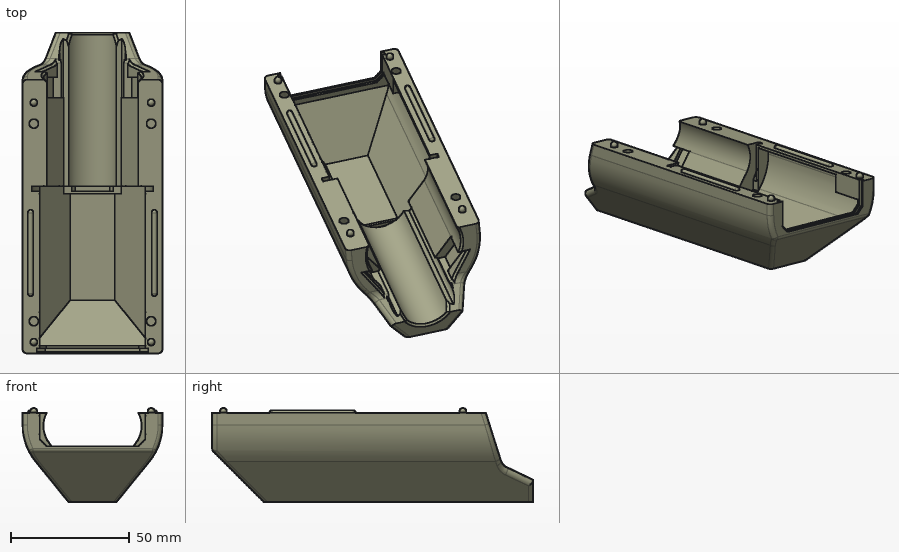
import cadquery as cq
import math


HALF_WIDTH = 29.7
LENGTH = 136.02
DEPTH = 37.8
SIDE_STRAIGHT = 5.0
FLARE_ANGLE = 39.0
FLARE_DROP = 15.4
FRONT_CORNER_DEPTH = 15.8
RIM_LENGTH = 116.07
NECK_Y, NECK_DEPTH = 123.05, 22.1
BACK_TOP_DEPTH = 28.3
NECK_FILLET = 5.0
EDGE_FILLET = 2.0

WALL = 1.5
CHAMBER_FRONT = 3.3
RIM_THICKNESS = 1.2
OPENING_HALF = 22.37
STEP_Y = 70.97
RIB_FRONT = 67.7
PLATE_SLOT_WIDTH = 2.15
PLATE_SLOT_WALL = 4.0
PLATE_SLOT_DEPTH = 35.06
RIB_OPENING_DEPTH = 33.0
PAD_BACK, PAD_DEPTH = 17.4, 9.0

END_SIDE_DEPTH = 11.1
END_FLOOR_HALF = 19.5
END_FLOOR_DEPTH = 14.07
END_GROOVE_START, END_GROOVE_END = 0.75, 2.25
END_GROOVE_DEPTH = 1.25

BACK_RIM_HALF = 19.4
BULGE_HALF = 20.76
BULGE_DEPTH = 5.6
BULGE_END_HALF, BULGE_END_DEPTH = 19.1, 11.6
LEDGE_HALF, LEDGE_DEPTH = 12.1, 21.6
CHANNEL_RADIUS = 11.3
CHANNEL_DEPTH = 21.5
RIDGE_HALF = 10.15
GROOVE_HALF, GROOVE_MID_DEPTH = 14.0, 24.3
GROOVE_FLOOR_HALF, GROOVE_FLOOR_DEPTH = 12.4, 27.0
END_CHAMFER = 0.9

POCKET_DEPTH = 22.4
POCKET_START, POCKET_STEP, POCKET_END = 108.4, 117.1, 124.4
WIDE_POCKET_HALF, NARROW_POCKET_HALF = 16.6, 15.0
NOTCH_HALF, NOTCH_END, NOTCH_DEPTH = 14.4, 126.5, 23.75

FASTENER_X = 24.86
PIN_YS = (4.85, 106.3)
PIN_DIAMETER, PIN_HEIGHT = 3.0, 2.13
HOLE_YS = (13.7, 97.4)
HOLE_DIAMETER, HOLE_DEPTH = 3.9, 6.0
BAR_X, BAR_START, BAR_END = 26.2, 24.3, 60.9
BAR_RADIUS = 1.2

TOUCHING = 1e-4
FLAT = 0.1
LENGTHWISE = 0.99

FLARE = math.radians(FLARE_ANGLE)
FLARE_RADIUS = FLARE_DROP / math.sin(FLARE)


def box(x0, x1, y0, y1, z0, z1):
    return cq.Workplane("XY").box(x1 - x0, y1 - y0, z1 - z0, centered=False).translate((x0, y0, z0))


def both_sides(half):
    return half.union(half.mirror("YZ"))


def section(y):
    """XZ sketch plane at the given Y, extruding toward +Y."""
    return cq.Workplane(cq.Plane(origin=(0, y, 0), xDir=(1, 0, 0), normal=(0, -1, 0)))


def extrude_back(sketch, length):
    return sketch.extrude(-length)


def hull(inset, y0, y1, floor_depth):
    """Outer cross-section moved inward by inset, swept from y0 to y1."""
    radius = FLARE_RADIUS - inset
    center_x = HALF_WIDTH - FLARE_RADIUS
    side = HALF_WIDTH - inset
    mid_x = center_x + radius * math.cos(FLARE / 2)
    mid_z = -SIDE_STRAIGHT - radius * math.sin(FLARE / 2)
    end_x = center_x + radius * math.cos(FLARE)
    end_z = -SIDE_STRAIGHT - radius * math.sin(FLARE)
    floor_x = end_x - (floor_depth + end_z) * math.tan(FLARE)
    sketch = (
        section(y0)
        .moveTo(-side, 0)
        .lineTo(side, 0)
        .lineTo(side, -SIDE_STRAIGHT)
        .threePointArc((mid_x, mid_z), (end_x, end_z))
        .lineTo(floor_x, -floor_depth)
        .lineTo(-floor_x, -floor_depth)
        .lineTo(-end_x, end_z)
        .threePointArc((-mid_x, mid_z), (-side, -SIDE_STRAIGHT))
        .close()
    )
    return extrude_back(sketch, y1 - y0)


def outer_body():
    """Hull trimmed to the side outline, with rounded edges at both ends."""
    nose_y = DEPTH - FRONT_CORNER_DEPTH
    side_outline = (
        cq.Workplane("YZ")
        .polyline([
            (0, 0), (RIM_LENGTH, 0), (NECK_Y, -NECK_DEPTH), (LENGTH, -BACK_TOP_DEPTH),
            (LENGTH, -DEPTH), (nose_y, -DEPTH), (0, -FRONT_CORNER_DEPTH),
        ])
        .close()
        .extrude(HALF_WIDTH, both=True)
    )
    neck = cq.selectors.NearestToPointSelector((0, NECK_Y, -NECK_DEPTH))
    side_outline = side_outline.edges("|X").edges(neck).fillet(NECK_FILLET)
    body = hull(0, 0, LENGTH, DEPTH).intersect(side_outline)

    def is_end_edge(edge):
        bounds = edge.BoundingBox()
        crosses_section = bounds.zlen > FLAT
        is_nose = bounds.ymax < FLAT and abs(bounds.zmin + FRONT_CORNER_DEPTH) < FLAT
        return crosses_section or is_nose

    return body.newObject([e for e in body.edges().vals() if is_end_edge(e)]).fillet(EDGE_FILLET)


def front_chamber():
    """Thin-walled chamber under the rim, with its pads and rib left standing."""
    inner_depth = DEPTH - WALL
    nose_shift = WALL * math.sqrt(2)
    corner_depth = FRONT_CORNER_DEPTH - nose_shift + CHAMBER_FRONT
    nose_end = CHAMBER_FRONT + inner_depth - corner_depth
    above_nose = (
        cq.Workplane("YZ")
        .polyline([
            (CHAMBER_FRONT, 0), (STEP_Y, 0), (STEP_Y, -inner_depth),
            (nose_end, -inner_depth), (CHAMBER_FRONT, -corner_depth),
        ])
        .close()
        .extrude(HALF_WIDTH, both=True)
    )
    shell_space = hull(WALL, CHAMBER_FRONT, STEP_Y, inner_depth).intersect(above_nose)
    opening = box(-OPENING_HALF, OPENING_HALF, 0, STEP_Y, -RIB_OPENING_DEPTH, 0).intersect(shell_space)
    pads = both_sides(box(OPENING_HALF, HALF_WIDTH, 0, PAD_BACK, -PAD_DEPTH, 0))
    under_rim = box(-HALF_WIDTH, HALF_WIDTH, CHAMBER_FRONT, RIB_FRONT, -DEPTH, -RIM_THICKNESS)
    recess = shell_space.intersect(under_rim).cut(pads)
    slot = hull(PLATE_SLOT_WALL, STEP_Y - PLATE_SLOT_WIDTH, STEP_Y, PLATE_SLOT_DEPTH)
    return recess.union(opening).union(slot)


def end_opening(y0, y1, growth):
    """Chamfered front opening, widened by growth on every side."""
    diagonal_shift = growth * math.tan(math.pi / 8)
    side = OPENING_HALF + growth
    side_depth = END_SIDE_DEPTH + diagonal_shift
    floor_half = END_FLOOR_HALF + diagonal_shift
    floor_depth = END_FLOOR_DEPTH + growth
    sketch = section(y0).polyline([
        (-side, 0), (side, 0), (side, -side_depth), (floor_half, -floor_depth),
        (-floor_half, -floor_depth), (-side, -side_depth),
    ]).close()
    return extrude_back(sketch, y1 - y0)


def back_cavity():
    """Bulged opening with sloped flanks, over a round channel."""
    length = LENGTH - STEP_Y
    sketch = (
        section(STEP_Y)
        .moveTo(-BACK_RIM_HALF, 0)
        .lineTo(BACK_RIM_HALF, 0)
        .threePointArc((BULGE_HALF, -BULGE_DEPTH), (BULGE_END_HALF, -BULGE_END_DEPTH))
        .lineTo(LEDGE_HALF, -LEDGE_DEPTH)
        .lineTo(-LEDGE_HALF, -LEDGE_DEPTH)
        .lineTo(-BULGE_END_HALF, -BULGE_END_DEPTH)
        .threePointArc((-BULGE_HALF, -BULGE_DEPTH), (-BACK_RIM_HALF, 0))
        .close()
    )
    cavity = extrude_back(sketch, length)
    channel = extrude_back(section(STEP_Y).center(0, -CHANNEL_DEPTH).circle(CHANNEL_RADIUS), length)
    return cavity.union(channel)


def side_grooves():
    """Undercut grooves between the sloped flanks and the channel."""
    ridge_depth = CHANNEL_DEPTH + math.sqrt(CHANNEL_RADIUS ** 2 - RIDGE_HALF ** 2)
    sketch = (
        section(STEP_Y)
        .moveTo(0, -LEDGE_DEPTH)
        .lineTo(LEDGE_HALF, -LEDGE_DEPTH)
        .threePointArc((GROOVE_HALF, -GROOVE_MID_DEPTH), (GROOVE_FLOOR_HALF, -GROOVE_FLOOR_DEPTH))
        .lineTo(RIDGE_HALF, -ridge_depth)
        .lineTo(0, -ridge_depth)
        .close()
    )
    return both_sides(extrude_back(sketch, LENGTH - STEP_Y))


def back_pocket(floor_half, y0, y1):
    """Flat-floored recess in each flank, with its wall parallel to the flank."""
    flank = (LEDGE_DEPTH - BULGE_END_DEPTH) / (BULGE_END_HALF - LEDGE_HALF)
    top_half = floor_half + (POCKET_DEPTH - BULGE_END_DEPTH) / flank
    sketch = section(y0).polyline([
        (LEDGE_HALF, -POCKET_DEPTH), (floor_half, -POCKET_DEPTH),
        (top_half, -BULGE_END_DEPTH), (LEDGE_HALF, -BULGE_END_DEPTH),
    ]).close()
    return both_sides(extrude_back(sketch, y1 - y0))


def back_notch():
    """Small flat step behind the pocket on each side."""
    return both_sides(box(LEDGE_HALF, NOTCH_HALF, POCKET_END, NOTCH_END, -NOTCH_DEPTH, -LEDGE_DEPTH))


def open_back_end(body):
    """Cut the back cavity and bevel its edges on the sloped back end.

    The groove ends stay sharp.
    """
    opening = back_cavity()
    opening = opening.union(back_pocket(WIDE_POCKET_HALF, POCKET_START, POCKET_STEP))
    opening = opening.union(back_pocket(NARROW_POCKET_HALF, POCKET_STEP, POCKET_END))
    body = body.cut(opening.union(side_grooves()))
    cutter = opening.val()

    def is_end_edge(edge):
        middle = edge.positionAt(0.5)
        runs_lengthwise = abs(edge.tangentAt(0.5).y) > LENGTHWISE
        is_at_end = middle.y > RIM_LENGTH and edge.BoundingBox().ymax > POCKET_STEP + END_CHAMFER
        on_opening = cq.Vertex.makeVertex(*middle.toTuple()).distance(cutter) < TOUCHING
        return is_at_end and on_opening and not runs_lengthwise

    return body.newObject([e for e in body.edges().vals() if is_end_edge(e)]).chamfer(END_CHAMFER)


def pin(x, y):
    """Locating pin with a ball end."""
    radius = PIN_DIAMETER / 2
    post = cq.Workplane("XY").center(x, y).circle(radius).extrude(PIN_HEIGHT - radius)
    return post.union(cq.Workplane("XY").sphere(radius).translate((x, y, PIN_HEIGHT - radius)))


def hole(x, y):
    return cq.Workplane("XY").center(x, y).circle(HOLE_DIAMETER / 2).extrude(-HOLE_DEPTH)


def bar(x):
    """Half-round bar with half-ball ends."""
    first, last = BAR_START + BAR_RADIUS, BAR_END - BAR_RADIUS
    capsule = extrude_back(section(first).center(x, 0).circle(BAR_RADIUS), last - first)
    for end in (first, last):
        capsule = capsule.union(cq.Workplane("XY").sphere(BAR_RADIUS).translate((x, end, 0)))
    return capsule


result = open_back_end(outer_body())
result = result.cut(back_notch())
result = result.cut(front_chamber())
result = result.cut(end_opening(0, CHAMBER_FRONT, 0))
result = result.cut(end_opening(END_GROOVE_START, END_GROOVE_END, END_GROOVE_DEPTH))
for side_x in (-FASTENER_X, FASTENER_X):
    for pin_y in PIN_YS:
        result = result.union(pin(side_x, pin_y))
    for hole_y in HOLE_YS:
        result = result.cut(hole(side_x, hole_y))
for bar_x in (-BAR_X, BAR_X):
    result = result.union(bar(bar_x))